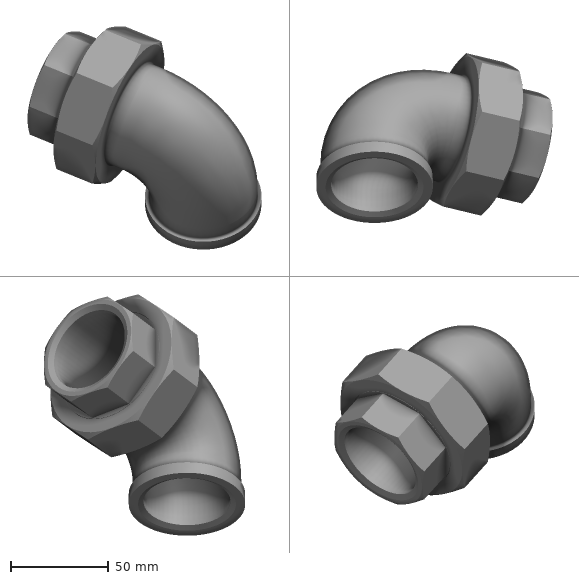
import cadquery as cq
import math

inlet_reach = 87.7
outlet_reach = 50.0

bore_diameter = 44.84
port_mouth_diameter = 50.4
inlet_thread_length = 19.1
port_chamfer_angle = 30.0

pipe_diameter = 56.0
bend_radius = 36.0
outlet_flange_diameter = 60.0
outlet_flange_height = 6.5
root_fillet = 1.0

nut_across_flats = 77.0
nut_length = 24.6
nut_face_diameter = 76.7
nut_lip_hole_diameter = 61.7
nut_thread_diameter = 65.83
nut_lip_thickness = 5.0

tail_across_flats = 55.7
tail_hub_length = 20.6
tail_face_diameter = 55.2
tail_shoulder_diameter = 61.3
tail_flange_diameter = 65.5
tail_flange_thickness = 10.0

wrench_flats = 8
half_flat_angle = 180.0 / wrench_flats
octagon_chamfer_angle = 30.0

inlet_face = -inlet_reach
nut_start = inlet_face + tail_hub_length
nut_end = nut_start + nut_length
lip_end = nut_start + nut_lip_thickness
seat = lip_end + tail_flange_thickness


def cylinder_x(diameter, start, end):
    """Solid cylinder along X between two stations."""
    return cq.Workplane("YZ", origin=(start, 0, 0)).circle(diameter / 2).extrude(end - start)


def octagon_x(across_flats, start, end):
    """Octagonal prism along X with flats facing Y and Z."""
    across_corners = across_flats / math.cos(math.pi / wrench_flats)
    return (
        cq.Workplane("YZ", origin=(start, 0, 0))
        .transformed(rotate=(0, 0, half_flat_angle))
        .polygon(wrench_flats, across_corners)
        .extrude(end - start)
    )


def corner_envelope(face_diameter, across_flats, start, end, both_ends):
    """Turned blank along X whose conical ends trim the corners of an octagon."""
    face_radius = face_diameter / 2
    blank_radius = across_flats
    cone_length = (blank_radius - face_radius) * math.tan(math.radians(octagon_chamfer_angle))
    front_cone = (
        cq.Workplane("XY")
        .moveTo(start, 0)
        .lineTo(start, face_radius)
        .lineTo(start + cone_length, blank_radius)
        .lineTo(end + cone_length, blank_radius)
        .lineTo(end + cone_length, 0)
        .close()
        .revolve(360, (0, 0, 0), (1, 0, 0))
    )
    if not both_ends:
        return front_cone
    middle = (start + end) / 2
    back_cone = front_cone.rotate((middle, 0, 0), (middle, 0, 1), 180)
    return front_cone.intersect(back_cone)


def port_chamfer(face_distance):
    """Cone that opens a port mouth, for a port facing -X."""
    mouth_radius = port_mouth_diameter / 2
    bore_radius = bore_diameter / 2
    depth = (mouth_radius - bore_radius) * math.tan(math.radians(port_chamfer_angle))
    return (
        cq.Workplane("XY")
        .moveTo(-face_distance, 0)
        .lineTo(-face_distance, mouth_radius)
        .lineTo(-face_distance + depth, bore_radius)
        .lineTo(-face_distance + depth, 0)
        .close()
        .revolve(360, (0, 0, 0), (1, 0, 0))
    )


def bent_rod(diameter):
    """Round rod from the tailpiece seat, around the bend, to the outlet face."""
    path = (
        cq.Workplane("XZ")
        .moveTo(seat, 0)
        .lineTo(-bend_radius, 0)
        .tangentArcPoint((0, -bend_radius), relative=False)
        .lineTo(0, -outlet_reach)
    )
    return cq.Workplane("YZ", origin=(seat, 0, 0)).circle(diameter / 2).sweep(path)


def root_ring(shoulder):
    """Concave fillet ring around a pipe lying on -X, growing toward +X from a shoulder face."""
    pipe_radius = pipe_diameter / 2
    tip = shoulder + root_fillet
    arc_offset = root_fillet * (1 - math.sqrt(0.5))
    return (
        cq.Workplane("XY")
        .moveTo(shoulder, 0)
        .lineTo(shoulder, pipe_radius + root_fillet)
        .threePointArc(
            (shoulder + arc_offset, pipe_radius + arc_offset),
            (tip, pipe_radius),
        )
        .lineTo(tip, 0)
        .close()
        .revolve(360, (0, 0, 0), (1, 0, 0))
    )


def to_outlet(shape):
    """Turn a shape built around the -X axis onto the -Z axis."""
    return shape.rotate((0, 0, 0), (0, 1, 0), -90)


def make_tailpiece():
    hub = octagon_x(tail_across_flats, inlet_face, nut_start)
    hub = hub.intersect(
        corner_envelope(tail_face_diameter, tail_across_flats, inlet_face, nut_start, both_ends=False)
    )
    shoulder = cylinder_x(tail_shoulder_diameter, nut_start, lip_end)
    flange = cylinder_x(tail_flange_diameter, lip_end, seat)
    body = hub.union(shoulder).union(flange).cut(port_chamfer(inlet_reach))
    thread_end = inlet_face + inlet_thread_length
    threaded_bore = cylinder_x(bore_diameter, inlet_face, thread_end)
    plain_bore = cylinder_x(bore_diameter, thread_end, seat)
    return body.cut(threaded_bore).cut(plain_bore, clean=False)


def make_nut():
    body = octagon_x(nut_across_flats, nut_start, nut_end)
    body = body.intersect(
        corner_envelope(nut_face_diameter, nut_across_flats, nut_start, nut_end, both_ends=True)
    )
    lip_hole = cylinder_x(nut_lip_hole_diameter, nut_start, lip_end)
    thread_bore = cylinder_x(nut_thread_diameter, lip_end, nut_end)
    return body.cut(lip_hole).cut(thread_bore)


def make_elbow():
    flange_top = -outlet_reach + outlet_flange_height
    threaded_collar = cylinder_x(nut_thread_diameter, seat, nut_end)
    outlet_flange = to_outlet(cylinder_x(outlet_flange_diameter, -outlet_reach, flange_top))
    body = bent_rod(pipe_diameter).union(threaded_collar).union(outlet_flange)
    body = body.union(root_ring(nut_end))
    body = body.union(to_outlet(root_ring(flange_top)))
    return body.cut(bent_rod(bore_diameter)).cut(to_outlet(port_chamfer(outlet_reach)))


tailpiece = make_tailpiece()
nut = make_nut()
elbow = make_elbow()

result = cq.Compound.makeCompound([tailpiece.val(), nut.val(), elbow.val()])